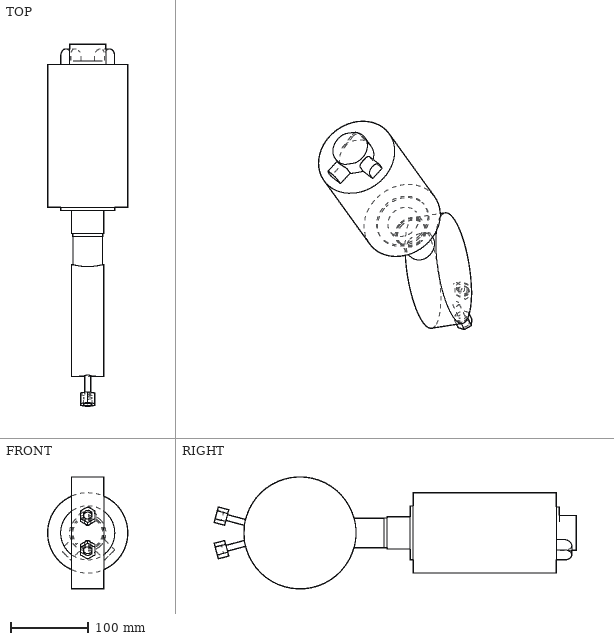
import math
import cadquery as cq


overall_length = 468.31

disc_diameter = 145.0
disc_thickness = 42.0

neck_diameter = 38.5
neck_rear_y = 108.5
step_diameter = 39.0
step_rear_y = 112.5
hub_diameter = 42.0
collar_diameter = 70.0
collar_front_y = 142.3

body_diameter = 104.0
body_front_y = 146.3
body_length = 185.0
body_rear_y = body_front_y + body_length

boss_diameter = 47.0
boss_length = 26.0
rear_end_y = body_rear_y + boss_length
boss_height = 45.0
boss_flat_blend = 10.5

lobe_thickness = 4.0
lobe_tip_radius = 6.5
lobe_top_z = 33.7

lug_width = 18.4
lug_reach = 40.2
lug_height = 20.0
lug_angles = (225.0, 315.0)

tube_angle = 15.0
tube_crossing_y = -20.5
tube_diameter = 8.0
nut_across_flats = 18.2
nut_length = 14.2
nut_bore_diameter = 11.5
nut_bore_depth = 8.5
front_end_y = rear_end_y - overall_length


def turned_section(diameter, front_y, rear_y):
    """Cylinder on the Y axis between two Y positions."""
    plane = cq.Workplane("XZ", origin=(0, front_y, 0))
    return plane.circle(diameter / 2).extrude(front_y - rear_y)


def make_disc():
    return cq.Workplane("YZ").circle(disc_diameter / 2).extrude(disc_thickness / 2, both=True)


def make_stem_and_body():
    neck = turned_section(neck_diameter, 0, neck_rear_y)
    step = turned_section(step_diameter, neck_rear_y, step_rear_y)
    hub = turned_section(hub_diameter, step_rear_y, collar_front_y)
    collar = turned_section(collar_diameter, collar_front_y, body_front_y)
    body = turned_section(body_diameter, body_front_y, body_rear_y)
    return neck.union(step).union(hub).union(collar).union(body)


def make_boss():
    round_boss = turned_section(boss_diameter, body_rear_y, rear_end_y)
    slab = (
        cq.Workplane("XZ", origin=(0, body_rear_y, 0))
        .rect(boss_diameter, boss_height)
        .extrude(-boss_length)
    )
    flattened = round_boss.intersect(slab)
    flat_sides = cq.selectors.BoxSelector(
        (-boss_diameter / 4, body_rear_y, -boss_height),
        (boss_diameter / 4, rear_end_y, boss_height),
    )
    return flattened.edges("|Y").edges(flat_sides).fillet(boss_flat_blend)


def make_lobe():
    boss_radius = boss_diameter / 2
    tip_z = lobe_top_z - lobe_tip_radius
    sine = (boss_radius - lobe_tip_radius) / tip_z
    cosine = math.sqrt(1 - sine**2)
    root = (boss_radius * cosine, boss_radius * sine)
    shoulder = (lobe_tip_radius * cosine, tip_z + lobe_tip_radius * sine)
    return (
        cq.Workplane("XZ", origin=(0, body_rear_y, 0))
        .moveTo(0, 0)
        .lineTo(*root)
        .lineTo(*shoulder)
        .threePointArc((0, lobe_top_z), (-shoulder[0], shoulder[1]))
        .lineTo(-root[0], root[1])
        .close()
        .extrude(-lobe_thickness)
    )


def make_lug(angle):
    end_radius = lug_width / 2
    straight = lug_height - end_radius
    lug = (
        cq.Workplane("YZ")
        .moveTo(0, -end_radius)
        .lineTo(straight, -end_radius)
        .threePointArc((lug_height, 0), (straight, end_radius))
        .lineTo(0, end_radius)
        .close()
        .extrude(lug_reach)
    )
    return lug.rotate((0, 0, 0), (0, 1, 0), -angle).translate((0, body_rear_y, 0))


def make_tube(angle):
    """Tube and nut running from the axis toward -Y, tilted by the given angle toward +Z."""
    tilt = math.radians(abs(angle))
    corner_radius = nut_across_flats / math.sqrt(3)
    end_distance = (tube_crossing_y - front_end_y - corner_radius * math.sin(tilt)) / math.cos(tilt)
    nut_start = end_distance - nut_length
    tube = cq.Workplane("XZ").circle(tube_diameter / 2).extrude(nut_start)
    corner_up_turn = 90
    nut = (
        cq.Workplane("XZ", origin=(0, -nut_start, 0))
        .polygon(6, 2 * corner_radius)
        .extrude(nut_length)
        .rotate((0, 0, 0), (0, 1, 0), corner_up_turn)
        .faces("<Y")
        .workplane(centerOption="CenterOfMass")
        .hole(nut_bore_diameter, nut_bore_depth)
    )
    fitting = tube.union(nut).rotate((0, 0, 0), (1, 0, 0), -angle)
    return fitting.translate((0, tube_crossing_y, 0))


result = make_disc().union(make_stem_and_body()).union(make_boss()).union(make_lobe())
for lug_angle in lug_angles:
    result = result.union(make_lug(lug_angle))
for side in (1, -1):
    result = result.union(make_tube(side * tube_angle))